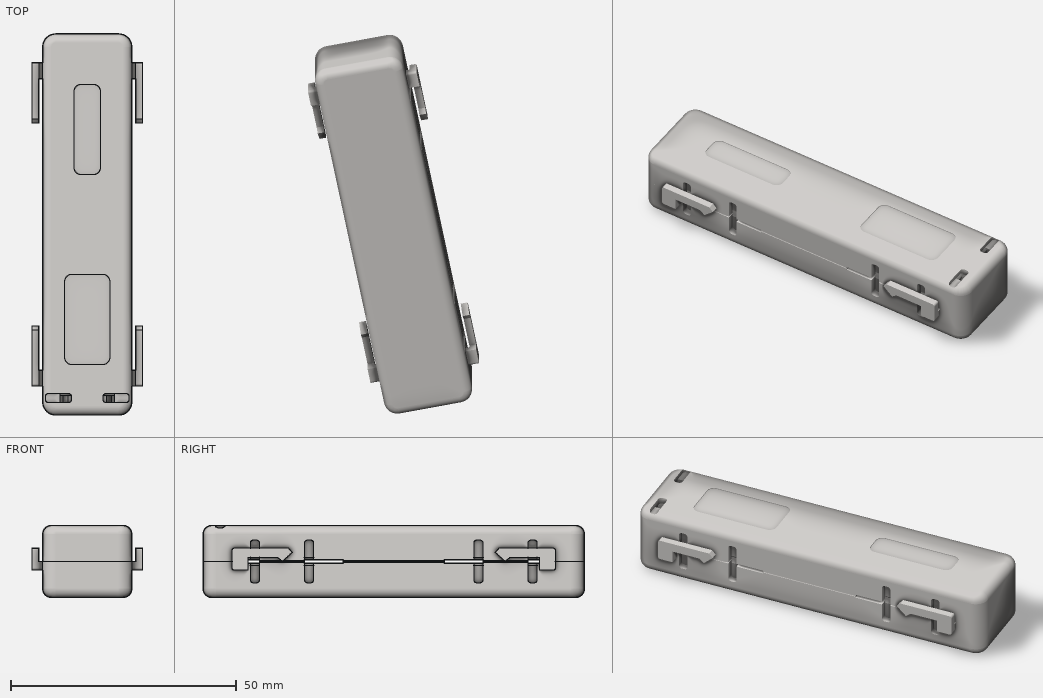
import cadquery as cq
CASE_LENGTH = 84.5
CASE_WIDTH = 19.8
CASE_HEIGHT = 16.0
CORNER_RADIUS = 2.95
RIM_RADIUS = 1.95
WALL = 1.6

half_length = CASE_LENGTH / 2
half_width = CASE_WIDTH / 2
half_height = CASE_HEIGHT / 2

CORE_LENGTH = 71.8
CORE_GAP = 0.8
CORE_CHAMFER = 0.5

core_width = CASE_WIDTH - 2 * WALL
core_top = half_height - WALL

LATCH_SPAN = 24.5
LATCH_THICKNESS = 1.5
STEM_OUTER_Y = 35.8
STEM_INNER_Y = 32.3
STEM_BOTTOM_Z = -1.95
ARM_TOP_Z = 2.95
ARM_BOTTOM_Z = 0.9
ARM_TOP_END_Y = 23.3
TIP_Y = 22.5
TIP_Z = 2.0
TOOTH_ROOT_Y = 25.8
TOOTH_POINT_Y = 24.7
TOOTH_POINT_Z = 0.0
LATCH_CORNER_RADIUS = 0.5

latch_outer_x = LATCH_SPAN / 2
arm_inner_x = latch_outer_x - LATCH_THICKNESS

CABLE_GAP = 0.25
WIDE_GAP_INNER_Y = 11.2

WINDOW_WIDTH = 2.0
WINDOW_HEIGHT = 9.5
WINDOW_CORNER_RADIUS = 0.7
INNER_WINDOW_Y = 18.8
OUTER_WINDOW_Y = 30.8

window_positions = [side * y for y in (INNER_WINDOW_Y, OUTER_WINDOW_Y) for side in (-1, 1)]

LABEL_LENGTH = 20.0
LABEL_OFFSET = 21.0
NUMBER_LABEL_WIDTH = 5.9
LOGO_LABEL_WIDTH = 10.05
LABEL_CORNER_RADIUS = 1.7
LABEL_DEPTH = 0.2

KEY_SLOT_Y = -38.45
KEY_SLOT_WIDTH = 2.0
KEY_SLOT_OUTER_X = 9.3
KEY_SLOT_INNER_X = 3.5
KEY_SLOT_DEPTH = 1.0
KEY_CORNER_DIAMETER = 1.4
KEY_STEP_X = 6.0
KEY_STEP_DEPTH = 0.5
KEY_PIT_DEPTH = 2.0
KEY_PIT_FLOOR = 0.7
KEY_PIT_RAMP = 1.1

key_slot_back_y = KEY_SLOT_Y + KEY_SLOT_WIDTH / 2
key_slot_front_y = KEY_SLOT_Y - KEY_SLOT_WIDTH / 2
key_slot_floor_z = half_height - KEY_SLOT_DEPTH
key_step_floor_z = key_slot_floor_z - KEY_STEP_DEPTH
key_pit_floor_z = key_step_floor_z - KEY_PIT_DEPTH
key_pit_back_y = key_slot_back_y - KEY_STEP_DEPTH


def block(x0, x1, y0, y1, z0, z1):
    """Box between two opposite corners."""
    return cq.Workplane("XY").box(x1 - x0, y1 - y0, z1 - z0, centered=False).translate((x0, y0, z0))


def mirror_x(shape):
    return shape.mirror("YZ")


def flip_z(shape):
    return shape.mirror("XY")


def core():
    """Upper core: a bar with its long edges chamfered along the gap."""
    bar = block(-core_width / 2, core_width / 2, -CORE_LENGTH / 2, CORE_LENGTH / 2, CORE_GAP / 2, core_top)
    return bar.edges("|Y and <Z").chamfer(CORE_CHAMFER)


def side_windows():
    """Window cutters, reaching through both side walls as far as the core."""
    windows = (
        cq.Workplane("YZ", origin=(-half_width, 0, 0))
        .pushPoints([(y, 0) for y in window_positions])
        .rect(WINDOW_WIDTH, WINDOW_HEIGHT)
        .extrude(WALL)
        .edges("|X")
        .fillet(WINDOW_CORNER_RADIUS)
    )
    return windows.union(mirror_x(windows))


def rim_gaps():
    """Cutters that lower the side rims: a thin gap, widened beside the windows."""
    gaps = block(
        -half_width, half_width, -STEM_INNER_Y, STEM_INNER_Y, -CABLE_GAP / 2, CABLE_GAP / 2
    )
    wide_ranges = (
        (WIDE_GAP_INNER_Y, INNER_WINDOW_Y + WINDOW_WIDTH / 2),
        (OUTER_WINDOW_Y - WINDOW_WIDTH / 2, STEM_INNER_Y),
    )
    for y0, y1 in wide_ranges:
        wide = block(-half_width, half_width, y0, y1, -CORE_GAP / 2, CORE_GAP / 2)
        gaps = gaps.union(wide).union(wide.mirror("XZ"))
    return gaps


def case_half():
    """Upper half shell with the core pocket, the windows and the rim gaps."""
    shell = (
        block(-half_width, half_width, -half_length, half_length, 0, half_height)
        .edges("|Z")
        .fillet(CORNER_RADIUS)
        .faces(">Z")
        .edges()
        .fillet(RIM_RADIUS)
    )
    pocket = block(-core_width / 2, core_width / 2, -CORE_LENGTH / 2, CORE_LENGTH / 2, 0, core_top)
    return shell.cut(pocket).cut(side_windows()).cut(rim_gaps())


def label_recess(width, y):
    return (
        cq.Workplane("XY", origin=(0, y, half_height - LABEL_DEPTH))
        .rect(width, LABEL_LENGTH)
        .extrude(LABEL_DEPTH)
        .edges("|Z")
        .fillet(LABEL_CORNER_RADIUS)
    )


def key_slot():
    """Cutter for the -X key slot: a round-cornered slot, a deeper inner part and a ramped pit."""
    corner_radius = KEY_CORNER_DIAMETER / 2
    slot = (
        block(
            -KEY_SLOT_OUTER_X, -KEY_SLOT_INNER_X,
            key_slot_front_y, key_slot_back_y,
            key_slot_floor_z, half_height,
        )
        .edges("|Z")
        .fillet(corner_radius)
    )
    step = (
        block(
            -KEY_STEP_X, -KEY_SLOT_INNER_X,
            key_slot_front_y, key_slot_back_y,
            key_step_floor_z, key_slot_floor_z,
        )
        .edges("|Z and >X")
        .fillet(corner_radius)
    )
    back_slope = (
        cq.Workplane("YZ", origin=(-KEY_STEP_X, 0, 0))
        .moveTo(key_slot_back_y, key_slot_floor_z)
        .lineTo(key_slot_back_y, key_step_floor_z)
        .lineTo(key_pit_back_y, key_step_floor_z)
        .close()
        .extrude(KEY_STEP_X - KEY_SLOT_INNER_X)
    )
    pit_end_x = -KEY_STEP_X + KEY_PIT_FLOOR
    pit = (
        cq.Workplane("XZ", origin=(0, key_pit_back_y, 0))
        .moveTo(-KEY_STEP_X, key_step_floor_z)
        .lineTo(-KEY_STEP_X, key_pit_floor_z)
        .lineTo(pit_end_x, key_pit_floor_z)
        .lineTo(pit_end_x + KEY_PIT_RAMP, key_step_floor_z)
        .close()
        .extrude(key_pit_back_y - key_slot_front_y)
    )
    return slot.union(step.cut(back_slope)).union(pit)


def upper_case():
    slot = key_slot()
    return (
        case_half()
        .cut(label_recess(NUMBER_LABEL_WIDTH, LABEL_OFFSET))
        .cut(label_recess(LOGO_LABEL_WIDTH, -LABEL_OFFSET))
        .cut(slot)
        .cut(mirror_x(slot))
    )


def latch():
    """Latch at +X, +Y: a stem on the case wall and an arm with a toothed, pointed tip."""
    arm = (
        cq.Workplane("YZ", origin=(arm_inner_x, 0, 0))
        .moveTo(STEM_OUTER_Y, STEM_BOTTOM_Z)
        .lineTo(STEM_OUTER_Y, ARM_TOP_Z)
        .lineTo(ARM_TOP_END_Y, ARM_TOP_Z)
        .lineTo(TIP_Y, TIP_Z)
        .lineTo(TOOTH_POINT_Y, TOOTH_POINT_Z)
        .lineTo(TOOTH_ROOT_Y, ARM_BOTTOM_Z)
        .lineTo(STEM_INNER_Y, ARM_BOTTOM_Z)
        .lineTo(STEM_INNER_Y, STEM_BOTTOM_Z)
        .close()
        .extrude(LATCH_THICKNESS)
        .edges("|X and >Y")
        .fillet(LATCH_CORNER_RADIUS)
    )
    stem = block(half_width, arm_inner_x, STEM_INNER_Y, STEM_OUTER_Y, STEM_BOTTOM_Z, 0)
    stem = stem.edges("|X and >Y and <Z").fillet(LATCH_CORNER_RADIUS)
    return arm.union(stem)


def lower_case():
    """Lower half, carrying a latch near each end of both sides."""
    case = flip_z(case_half())
    right_latches = latch().union(latch().mirror("XZ"))
    return case.union(right_latches).union(mirror_x(right_latches))


upper_core = core()
lower_core = flip_z(upper_core)

result = cq.Compound.makeCompound(
    [upper_case().val(), lower_case().val(), upper_core.val(), lower_core.val()]
)